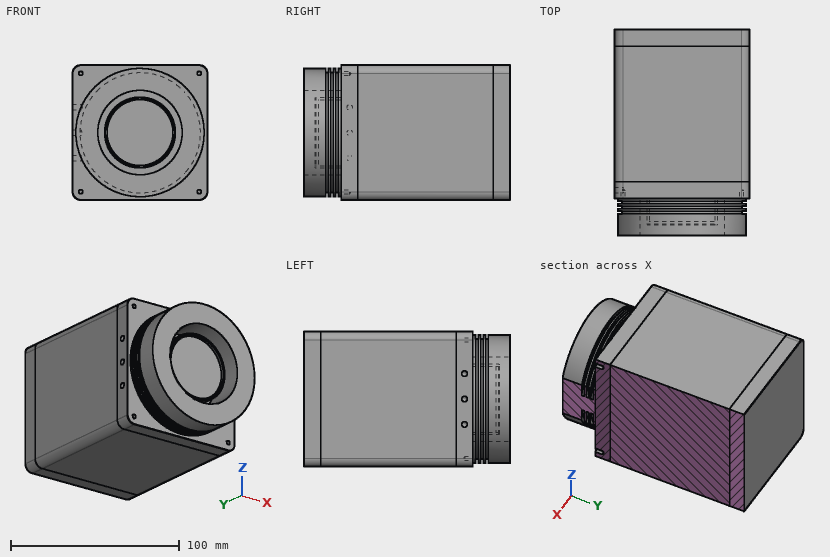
import cadquery as cq
import math


case_side = 80.0
case_corner_radius = 5.0
case_length = 100.0
cover_length = 10.0
cover_edge_chamfer = 0.2
housing_length = case_length - 2 * cover_length

drill_point_angle = 118.0
corner_hole_diameter = 2.5
corner_hole_depth = 4.9
corner_hole_spacing = 70.0
side_hole_diameter = 3.3
side_hole_depth = 4.9
side_hole_count = 3
side_hole_pitch = 15.0
side_hole_y = cover_length / 2

hood_length = 22.0
hood_diameter = 76.0
hood_bore_diameter = 50.0
groove_floor_diameter = 71.2
groove_count = 3
grooved_length = 9.0
groove_width = grooved_length / (2 * groove_count)

tube_length = 15.5
tube_diameter = 42.0
tube_bore_diameter = 39.0
tube_edge_chamfer = 0.5
lens_recess = 2.0


def case_section(front_y, length):
    """Rounded square block running from front_y toward +Y."""
    return (
        cq.Workplane("XZ", origin=(0, front_y, 0))
        .rect(case_side, case_side)
        .extrude(-length)
        .edges("|Y")
        .fillet(case_corner_radius)
    )


def disc(diameter, front_y, length):
    """Disc on the optical axis, running from front_y toward +Y."""
    return cq.Workplane("XZ", origin=(0, front_y, 0)).circle(diameter / 2).extrude(-length)


def ring(outer_diameter, inner_diameter, front_y, length):
    """Flat ring on the optical axis, running from front_y toward +Y."""
    return disc(outer_diameter, front_y, length).cut(disc(inner_diameter, front_y, length))


def drill(diameter, depth, mouth, direction):
    """Drilled blind hole with a conical point, starting at mouth and running along direction."""
    radius = diameter / 2
    point_length = radius / math.tan(math.radians(drill_point_angle / 2))
    mouth = cq.Vector(*mouth)
    direction = cq.Vector(*direction)
    shaft = cq.Solid.makeCylinder(radius, depth, mouth, direction)
    point = cq.Solid.makeCone(radius, 0, point_length, mouth + direction * depth, direction)
    return shaft.fuse(point)


def make_rear_cover():
    cover = case_section(case_length - cover_length, cover_length)
    return cover.faces(">Y").chamfer(cover_edge_chamfer)


def make_housing():
    return case_section(cover_length, housing_length)


def make_front_cover():
    cover = case_section(0, cover_length).faces("<Y").chamfer(cover_edge_chamfer)
    corner = corner_hole_spacing / 2
    for x in (-corner, corner):
        for z in (-corner, corner):
            cover = cover.cut(drill(corner_hole_diameter, corner_hole_depth, (x, 0, z), (0, 1, 0)))
    for i in range(side_hole_count):
        z = (i - (side_hole_count - 1) / 2) * side_hole_pitch
        mouth = (-case_side / 2, side_hole_y, z)
        cover = cover.cut(drill(side_hole_diameter, side_hole_depth, mouth, (1, 0, 0)))
    return cover


def make_hood():
    hood = ring(hood_diameter, hood_bore_diameter, -hood_length, hood_length)
    for i in range(groove_count):
        groove_front_y = -2 * (i + 1) * groove_width
        hood = hood.cut(ring(hood_diameter, groove_floor_diameter, groove_front_y, groove_width))
    return hood


def make_lens_tube():
    tube = disc(tube_diameter, -tube_length, tube_length).faces("<Y").chamfer(tube_edge_chamfer)
    return tube.cut(disc(tube_bore_diameter, -tube_length, tube_length))


def make_lens():
    lens_length = tube_length - lens_recess
    return disc(tube_bore_diameter, -lens_length, lens_length)


rear_cover = make_rear_cover()
housing = make_housing()
front_cover = make_front_cover()
hood = make_hood()
lens_tube = make_lens_tube()
lens = make_lens()

result = cq.Compound.makeCompound(
    [
        rear_cover.val(),
        housing.val(),
        front_cover.val(),
        hood.val(),
        lens_tube.val(),
        lens.val(),
    ]
)